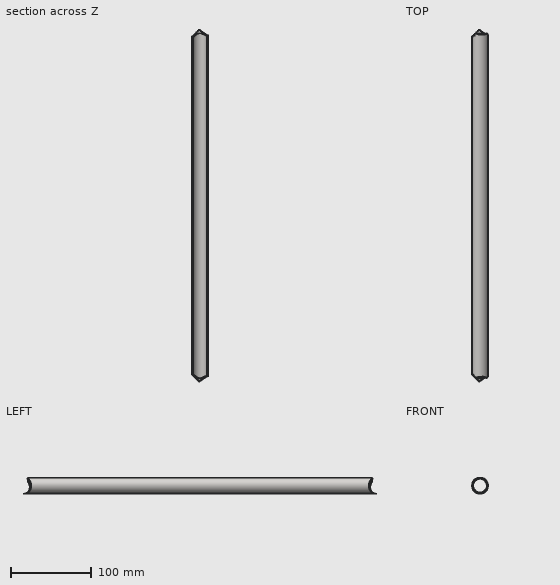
import cadquery as cq
import math

node_distance = 440.0
outer_radius = 10.0
wall = 1.5
inner_radius = outer_radius - wall

neighbours = [
    (180.0, 0.0),
    (-11.5, 13.0),
    (78.0, 19.5),
]
neighbour_length = 4 * outer_radius

node_y = node_distance / 2


def make_tube():
    """Plain tube along Y, from node to node."""
    section = cq.Workplane("XZ", origin=(0, node_y, 0)).circle(outer_radius).circle(inner_radius)
    return section.extrude(node_distance)


def make_neighbour(angle, lean):
    """Solid outline of one neighbouring tube, starting at the +Y node."""
    around = math.radians(angle)
    out = math.radians(lean)
    direction = cq.Vector(
        math.cos(out) * math.cos(around),
        math.sin(out),
        math.cos(out) * math.sin(around),
    )
    node = cq.Vector(0, node_y, 0)
    return cq.Solid.makeCylinder(outer_radius, neighbour_length, node, direction)


def cope_ends(tube):
    """Cut the neighbours out of the +Y end and, mirrored, out of the -Y end."""
    for angle, lean in neighbours:
        cutter = cq.Workplane(obj=make_neighbour(angle, lean))
        tube = tube.cut(cutter).cut(cutter.mirror("XZ"))
    return tube


result = cope_ends(make_tube())